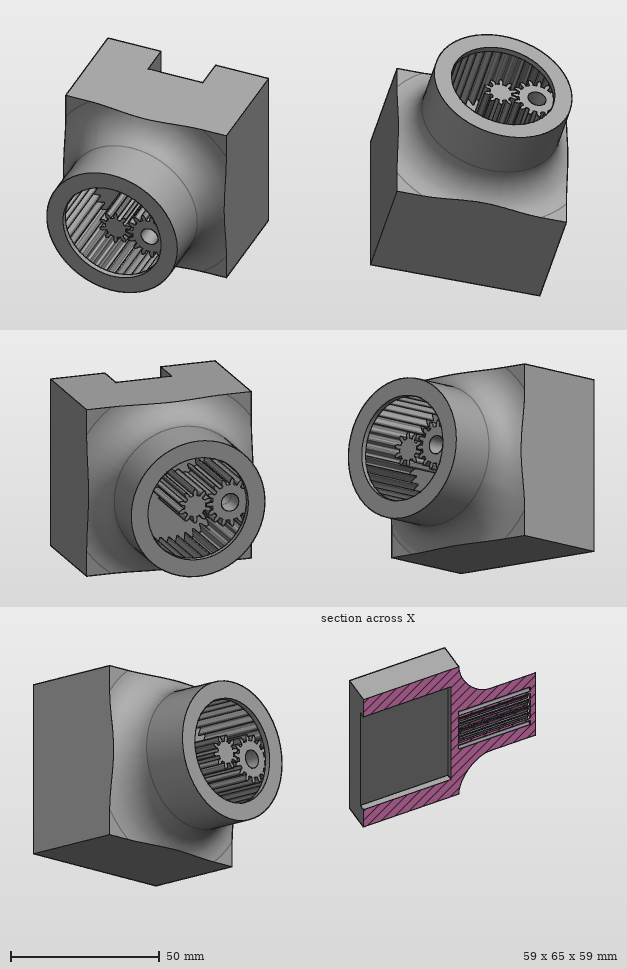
import cadquery as cq
import math

total_length = 65.0
block_side = 59.0
block_length = 36.0
nose_diameter = 48.0
flare_radius = 12.0

lip_diameter = 36.0
lip_thickness = 2.0
floor_thickness = 3.0

motor_pocket_side = 42.65
cable_slot_width = 20.0
cable_slot_length = 11.0

sun_teeth = 10
planet_teeth = 15
sun_pitch_radius = 5.0
pressure_angle = math.radians(20)
addendum_factor = 1.0
dedendum_factor = 1.1
ring_dedendum_factor = 1.4
crest_rise = 0.25
root_dip = 0.2
gear_thinning = 0.2
ring_gap_widening = 0.4
gear_setback = 1.0
flank_points = 6

planet_bore_front = 6.25
planet_bore_back = 5.3
planet_bore_taper_length = 6.5

front_y = -total_length / 2
back_y = total_length / 2
block_front_y = back_y - block_length
nose_length = total_length - block_length
cavity_front_y = front_y + lip_thickness
cavity_length = nose_length - lip_thickness
gear_front_y = cavity_front_y + gear_setback
gear_length = cavity_length - gear_setback
motor_pocket_depth = block_length - floor_thickness

module = 2 * sun_pitch_radius / sun_teeth
ring_teeth = sun_teeth + 2 * planet_teeth
planet_x = module * (sun_teeth + planet_teeth) / 2


def plane_at(y, x=0.0):
    """Workplane facing the back (+Y) whose local axes are X and -Z, centered at the given X."""
    return cq.Workplane(cq.Plane(origin=(x, y, 0), xDir=(1, 0, 0), normal=(0, 1, 0)))


def polar(radius, angle):
    return (radius * math.cos(angle), radius * math.sin(angle))


def involute_angle(radius, base_radius):
    """Polar angle swept by an involute between its base circle and the given radius."""
    roll = math.acos(min(1.0, base_radius / radius))
    return math.tan(roll) - roll


def gear_prism(base, teeth, addendum, dedendum, thinning, first_tooth_angle, length):
    """Spur toothed prism with involute flanks and rounded tips and roots.

    A negative thinning makes the teeth wider.
    """
    pitch_radius = module * teeth / 2
    base_radius = pitch_radius * math.cos(pressure_angle)
    tip_radius = pitch_radius + addendum
    root_radius = pitch_radius - dedendum
    flank_start = max(root_radius, base_radius)
    flank_end = tip_radius - crest_rise
    half_tooth = math.pi / (2 * teeth) - thinning / (2 * pitch_radius)
    base_half_tooth = half_tooth + involute_angle(pitch_radius, base_radius)
    pitch_angle = 2 * math.pi / teeth

    flank = []
    for i in range(flank_points):
        radius = flank_start + (flank_end - flank_start) * i / (flank_points - 1)
        flank.append((radius, base_half_tooth - involute_angle(radius, base_radius)))
    root_angle = flank[0][1]
    has_radial_foot = root_radius < flank_start

    outline = base.moveTo(*polar(root_radius, first_tooth_angle - root_angle))
    for tooth in range(teeth):
        middle = first_tooth_angle + tooth * pitch_angle
        rising = [polar(radius, middle - angle) for radius, angle in flank]
        falling = [polar(radius, middle + angle) for radius, angle in reversed(flank)]
        if has_radial_foot:
            outline = outline.lineTo(*rising[0])
        outline = outline.spline(rising[1:], includeCurrent=True)
        outline = outline.threePointArc(polar(tip_radius, middle), falling[0])
        outline = outline.spline(falling[1:], includeCurrent=True)
        if has_radial_foot:
            outline = outline.lineTo(*polar(root_radius, middle + root_angle))
        root_bottom = polar(root_radius - root_dip, middle + pitch_angle / 2)
        next_tooth_foot = polar(root_radius, middle + pitch_angle - root_angle)
        outline = outline.threePointArc(root_bottom, next_tooth_foot)
    return outline.close().extrude(length)


def external_gear(teeth, first_tooth_angle, x=0.0):
    return gear_prism(
        plane_at(gear_front_y, x),
        teeth,
        addendum_factor * module,
        dedendum_factor * module,
        gear_thinning,
        first_tooth_angle,
        gear_length,
    )


def ring_gear_cavity():
    """Space inside the internal teeth: its lobes are the gaps between the ring's teeth."""
    return gear_prism(
        plane_at(cavity_front_y),
        ring_teeth,
        ring_dedendum_factor * module,
        addendum_factor * module,
        -ring_gap_widening,
        math.pi / ring_teeth,
        cavity_length,
    )


def flared_nose():
    """Round nose whose concave flare widens to the corners of the block."""
    nose_radius = nose_diameter / 2
    flare_front_y = block_front_y - flare_radius
    flare_middle = (
        nose_radius + flare_radius * (1 - math.cos(math.pi / 4)),
        flare_front_y + flare_radius * math.sin(math.pi / 4),
    )
    turned = (
        cq.Workplane("XY")
        .moveTo(0, front_y)
        .lineTo(nose_radius, front_y)
        .lineTo(nose_radius, flare_front_y)
        .threePointArc(flare_middle, (nose_radius + flare_radius, block_front_y))
        .lineTo(0, block_front_y)
        .close()
        .revolve(360, (0, 0, 0), (0, 1, 0))
    )
    square_envelope = plane_at(front_y).rect(block_side, block_side).extrude(nose_length)
    return turned.intersect(square_envelope)


def make_housing():
    block = plane_at(block_front_y).rect(block_side, block_side).extrude(block_length)
    body = block.union(flared_nose())

    lip_opening = plane_at(front_y).circle(lip_diameter / 2).extrude(lip_thickness)
    motor_pocket = (
        plane_at(back_y).rect(motor_pocket_side, motor_pocket_side).extrude(-motor_pocket_depth)
    )
    cable_slot = (
        plane_at(back_y)
        .center(0, -block_side / 4)
        .rect(cable_slot_width, block_side / 2)
        .extrude(-cable_slot_length)
    )
    return body.cut(lip_opening).cut(ring_gear_cavity()).cut(motor_pocket).cut(cable_slot)


def make_sun():
    """Sun gear with a gap facing the planet."""
    return external_gear(sun_teeth, math.pi / sun_teeth)


def make_planet():
    """Planet gear with a tooth facing the sun and a bore that narrows behind its front face."""
    gear = external_gear(planet_teeth, math.pi, planet_x)
    bore = plane_at(gear_front_y, planet_x).circle(planet_bore_back / 2).extrude(gear_length)
    taper = (
        plane_at(gear_front_y, planet_x)
        .circle(planet_bore_front / 2)
        .workplane(offset=planet_bore_taper_length)
        .circle(planet_bore_back / 2)
        .loft()
    )
    return gear.cut(bore).cut(taper)


housing = make_housing()
sun = make_sun()
planet = make_planet()

result = cq.Compound.makeCompound([housing.val(), sun.val(), planet.val()])